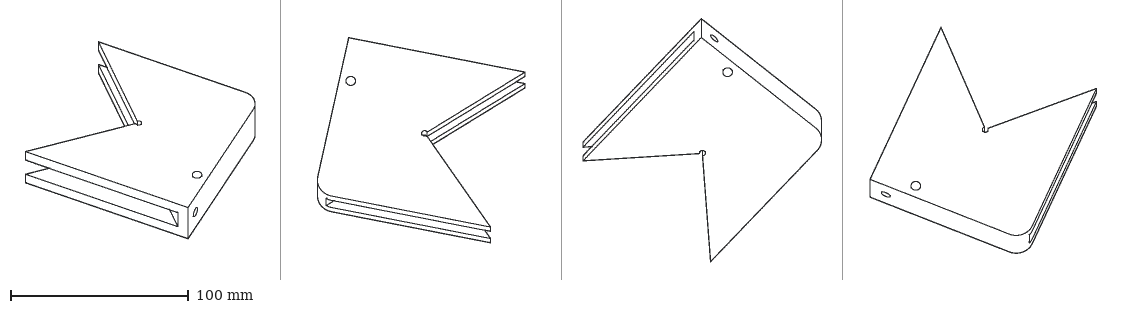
import cadquery as cq

length = 101.6
width = 95.3
height = 25.4
corner_radius = 10.0

apex = width / 2
relief_diameter = 3.3
relief_x = 48.0

plate_thickness = 7.0
slot_height = height - 2 * plate_thickness

hole_diameter = 5.4
upright_hole_x = 95.1
upright_hole_y = 25.3
cross_hole_y = 9.7


def make_block():
    """Plain block with one rounded vertical corner."""
    block = cq.Workplane("XY").box(length, width, height, centered=False)
    return block.edges("|Z and >X and >Y").fillet(corner_radius)


def make_notch():
    """Triangular prism whose sides meet at a right angle."""
    outline = [(0, 0), (apex, apex), (0, width)]
    return cq.Workplane("XY").polyline(outline).close().extrude(height)


def make_slot():
    """Gap between the plates, ending on the two 45 degree faces of the wedge."""
    outline = [(0, 0), (width, 0), (apex, apex), (width, width), (0, width)]
    slot = cq.Workplane("XY").polyline(outline).close().extrude(slot_height)
    return slot.translate((0, 0, plate_thickness))


def upright_cylinder(x, y, diameter):
    """Cutter for a vertical hole through the full height."""
    return cq.Workplane("XY").center(x, y).circle(diameter / 2).extrude(height)


def make_cross_hole():
    """Cutter for a hole along X, halfway up the block."""
    section = cq.Workplane("YZ").center(cross_hole_y, height / 2).circle(hole_diameter / 2)
    return section.extrude(length)


result = (
    make_block()
    .cut(make_notch())
    .cut(make_slot())
    .cut(upright_cylinder(relief_x, apex, relief_diameter))
    .cut(upright_cylinder(upright_hole_x, upright_hole_y, hole_diameter))
    .cut(make_cross_hole())
)